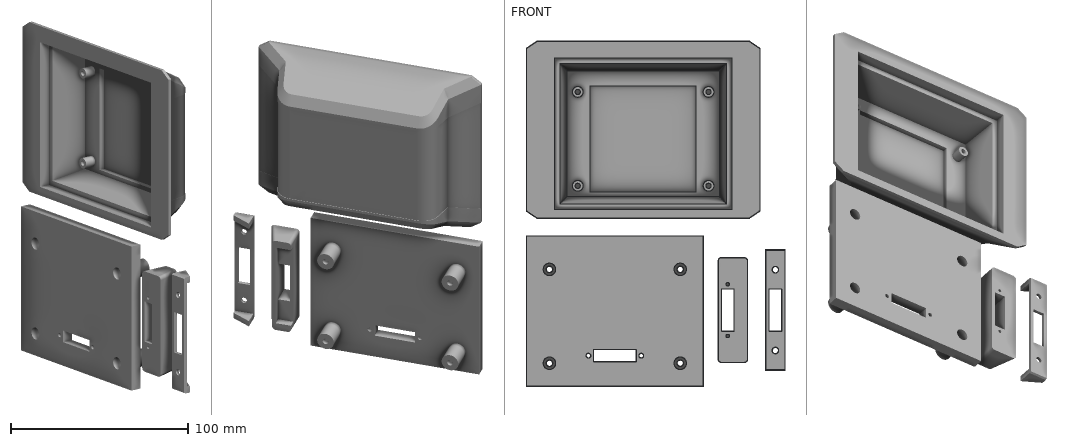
import cadquery as cq
import math


cover_width = 132.0
cover_height = 100.0
flange_thickness = 2.0
cover_depth = 32.0
corner_cut_x = 6.0
corner_cut_z = 4.0
knee_half_width = 50.0
knee_depth = 13.0
side_lean = 12.4
back_radius = 10.0
edge_inset = 3.5
top_slope = 29.0
bottom_slope = 22.0
band_recess = 0.3
band_height = 59.8

interior_center_z = 47.8
ledge_width = 3.1
plate_clearance = 0.4
wall_lean = 4.0
floor_depth = 26.9
pocket_side = band_height
pocket_depth = 3.1
boss_diameter = 6.0
boss_hole = 3.0
boss_front_depth = 20.3

plate_width = 100.0
plate_height = 85.0
plate_thickness = 6.5
plate_left = -cover_width / 2
plate_bottom = -95.0
plate_front = -1.2
post_diameter = 10.0
post_length = 13.0
post_bore = 7.0
post_hole = 3.5
post_web = 4.0
plate_slot_width = 24.0
plate_slot_height = 6.8
plate_slot_drop = 25.1
plate_slot_hole = 2.5
plate_slot_hole_spacing = 29.8

screw_spacing_x = 73.9
screw_spacing_z = 53.0
screw_drop = 3.0

socket_center_z = -51.8
block_left = 42.3
block_width = 16.8
block_back_width = 11.1
block_depth = 16.0
block_height = 59.2
block_radius = 2.0
block_slot_left = 2.0
slot_width = 7.0
slot_height = 23.8
pilot_hole = 2.0
pilot_depth = 5.8
pilot_spacing = 29.2
notch_depth = 4.5
notch_height = 50.3

bracket_left = 69.1
bracket_width = 11.1
bracket_height = 68.5
bracket_thickness = 2.0
ear_thickness = 3.5
ear_long = 10.1
ear_short = 4.3
ear_bevel_y = 1.2
ear_bevel_z = 0.5
bracket_hole = 3.5
bracket_hole_spacing = 45.6


def box(x, y, z):
    """Box from three (low, high) pairs."""
    size = [high - low for low, high in (x, y, z)]
    return cq.Workplane("XY").box(*size, centered=False).translate((x[0], y[0], z[0]))


def centered_box(width, height, center_x, center_z, y):
    """Box centred in X and Z that spans the pair y."""
    return box(
        (center_x - width / 2, center_x + width / 2),
        y,
        (center_z - height / 2, center_z + height / 2),
    )


def rod(diameter, x, z, y):
    """Cylinder along Y through (x, z) that spans the pair y."""
    circle = cq.Wire.makeCircle(diameter / 2, cq.Vector(x, y[0], z), cq.Vector(0, 1, 0))
    return cq.Workplane(cq.Solid.extrudeLinear(circle, [], cq.Vector(0, y[1] - y[0], 0)))


def screw_places(center_x, center_z):
    return [
        (center_x + side * screw_spacing_x / 2, center_z + level * screw_spacing_z / 2)
        for side in (-1, 1)
        for level in (-1, 1)
    ]


def back_prism(inset):
    """Raised back, straight along Z, with its shoulders, sides and back moved inward by inset."""
    lean = math.radians(side_lean)
    half_width = cover_width / 2
    shoulder = math.atan2(half_width - knee_half_width, knee_depth - flange_thickness)
    base_x = half_width - inset / math.cos(shoulder)
    knee_shift = inset / math.cos((shoulder - lean) / 2)
    knee_x = knee_half_width - knee_shift * math.cos((shoulder + lean) / 2)
    knee_y = knee_depth - knee_shift * math.sin((shoulder + lean) / 2)
    back_y = cover_depth - inset
    back_x = knee_x - (back_y - knee_y) * math.tan(lean)
    points = [
        (-base_x, flange_thickness),
        (-knee_x, knee_y),
        (-back_x, back_y),
        (back_x, back_y),
        (knee_x, knee_y),
        (base_x, flange_thickness),
    ]
    prism = cq.Workplane("XY").polyline(points).close().extrude(cover_height)
    return prism.faces(">Y").edges("|Z").fillet(back_radius - inset)


def across_cover(side_outline):
    """Outline in the YZ plane extended over the whole width of the cover."""
    outline = cq.Workplane("YZ").polyline(side_outline).close()
    return outline.extrude(cover_width / 2, both=True)


def slanted_outline(prism, base_z, slope):
    """Outline where a plane through z = base_z at the flange, climbing by slope along Y, cuts a prism."""
    plane = cq.Face.makePlane(
        4 * cover_width,
        4 * cover_width,
        cq.Vector(0, flange_thickness, base_z),
        cq.Vector(0, -slope, 1),
    )
    return plane.intersect(prism.val()).Faces()[0].outerWire()


def make_cover_outside():
    top_rise = -math.tan(math.radians(top_slope))
    bottom_rise = math.tan(math.radians(bottom_slope))
    side_top = cover_height - corner_cut_z
    side_bottom = corner_cut_z
    back_height = cover_depth - flange_thickness

    full = back_prism(0)
    bevelled = back_prism(edge_inset)

    trunk_side = [
        (flange_thickness, side_bottom),
        (cover_depth, side_bottom + bottom_rise * back_height),
        (cover_depth, side_top + top_rise * back_height),
        (flange_thickness, side_top),
    ]
    trunk = full.intersect(across_cover(trunk_side))

    band_bottom = interior_center_z - band_height / 2
    band_top = interior_center_z + band_height / 2
    shoulder_depth = knee_depth - flange_thickness
    band_side = [
        (flange_thickness, band_bottom - bottom_rise * shoulder_depth),
        (knee_depth, band_bottom),
        (cover_depth, band_bottom),
        (cover_depth, band_top),
        (knee_depth, band_top),
        (flange_thickness, band_top - top_rise * shoulder_depth),
    ]
    trunk = trunk.cut(across_cover(band_side).cut(back_prism(band_recess)))

    outside = make_flange().union(trunk)
    for side_z, edge_z, rise in (
        (side_top, cover_height, top_rise),
        (side_bottom, 0, bottom_rise),
    ):
        outlines = [slanted_outline(full, side_z, rise), slanted_outline(bevelled, edge_z, rise)]
        outside = outside.union(cq.Workplane(cq.Solid.makeLoft(outlines, True)))
    return outside


def make_flange():
    """Plate with its four corners cut off."""
    half_width = cover_width / 2
    inner_x = half_width - corner_cut_x
    inner_top = cover_height - corner_cut_z
    points = [
        (-inner_x, 0),
        (inner_x, 0),
        (half_width, corner_cut_z),
        (half_width, inner_top),
        (inner_x, cover_height),
        (-inner_x, cover_height),
        (-half_width, inner_top),
        (-half_width, corner_cut_z),
    ]
    return cq.Workplane("XZ").polyline(points).close().extrude(-flange_thickness)


def make_cover():
    recess_width = plate_width + plate_clearance
    recess_height = plate_height + plate_clearance
    mouth_width = recess_width - 2 * ledge_width
    mouth_height = recess_height - 2 * ledge_width
    screw_center_z = interior_center_z - screw_drop

    recess = centered_box(recess_width, recess_height, 0, interior_center_z, (0, plate_thickness))
    cavity = (
        cq.Workplane("XZ", origin=(0, plate_thickness, interior_center_z))
        .rect(mouth_width, mouth_height)
        .workplane(offset=plate_thickness - floor_depth)
        .rect(mouth_width - 2 * wall_lean, mouth_height - 2 * wall_lean)
        .loft(ruled=True)
    )
    pocket = centered_box(
        pocket_side, pocket_side, 0, screw_center_z, (floor_depth, floor_depth + pocket_depth)
    )
    cover = make_cover_outside().cut(recess).cut(cavity).cut(pocket)
    for x, z in screw_places(0, screw_center_z):
        length = (boss_front_depth, floor_depth)
        cover = cover.union(rod(boss_diameter, x, z, length)).cut(rod(boss_hole, x, z, length))
    return cover


def make_plate():
    center_x = plate_left + plate_width / 2
    center_z = plate_bottom + plate_height / 2
    plate_back = plate_front + plate_thickness
    post_end = plate_back + post_length
    slot_z = center_z - plate_slot_drop

    plate = centered_box(plate_width, plate_height, center_x, center_z, (plate_front, plate_back))
    for x, z in screw_places(center_x, center_z - screw_drop):
        plate = plate.union(rod(post_diameter, x, z, (plate_back, post_end)))
        plate = plate.cut(rod(post_bore, x, z, (plate_front, post_end - post_web)))
        plate = plate.cut(rod(post_hole, x, z, (plate_front, post_end)))

    through = (plate_front, plate_back)
    plate = plate.cut(centered_box(plate_slot_width, plate_slot_height, center_x, slot_z, through))
    for side in (-1, 1):
        hole_x = center_x + side * plate_slot_hole_spacing / 2
        plate = plate.cut(rod(plate_slot_hole, hole_x, slot_z, through))
    return plate


def make_wedge_block():
    bottom = socket_center_z - block_height / 2
    slot_center_x = block_left + block_slot_left + slot_width / 2
    slot_right = slot_center_x + slot_width / 2
    outline = [
        (block_left, 0),
        (block_left + block_width, 0),
        (block_left + block_back_width, block_depth),
        (block_left, block_depth),
    ]
    block = cq.Workplane("XY", origin=(0, 0, bottom)).polyline(outline).close().extrude(block_height)
    long_edges = block.faces(">Z or <Z").edges("not |X")
    block = long_edges.fillet(block_radius)

    block = block.cut(
        centered_box(slot_width, slot_height, slot_center_x, socket_center_z, (0, block_depth))
    )
    block = block.cut(
        box(
            (block_left, slot_right),
            (block_depth - notch_depth, block_depth),
            (socket_center_z - notch_height / 2, socket_center_z + notch_height / 2),
        )
    )
    for side in (-1, 1):
        hole_z = socket_center_z + side * pilot_spacing / 2
        block = block.cut(rod(pilot_hole, slot_center_x, hole_z, (0, pilot_depth)))
    return block


def make_bracket():
    bracket_right = bracket_left + bracket_width
    center_x = bracket_left + bracket_width / 2
    bottom = socket_center_z - bracket_height / 2
    outline = [
        (bracket_left, 0),
        (bracket_right, 0),
        (bracket_right, ear_short),
        (bracket_left, ear_long),
    ]
    bracket = cq.Workplane("XY", origin=(0, 0, bottom)).polyline(outline).close().extrude(bracket_height)
    between_ears = centered_box(
        bracket_width,
        bracket_height - 2 * ear_thickness,
        center_x,
        socket_center_z,
        (bracket_thickness, ear_long),
    )
    bracket = bracket.cut(between_ears)

    for side in (-1, 1):
        end_z = socket_center_z + side * bracket_height / 2
        bevel = [(0, end_z), (ear_bevel_y, end_z), (0, end_z - side * ear_bevel_z)]
        bevel_cut = cq.Workplane("YZ", origin=(bracket_left, 0, 0)).polyline(bevel).close()
        bracket = bracket.cut(bevel_cut.extrude(bracket_width))

    through = (0, bracket_thickness)
    bracket = bracket.cut(centered_box(slot_width, slot_height, center_x, socket_center_z, through))
    for side in (-1, 1):
        hole_z = socket_center_z + side * bracket_hole_spacing / 2
        bracket = bracket.cut(rod(bracket_hole, center_x, hole_z, through))
    return bracket


bodies = [make_cover(), make_plate(), make_wedge_block(), make_bracket()]

result = cq.Compound.makeCompound([body.solids().val() for body in bodies])